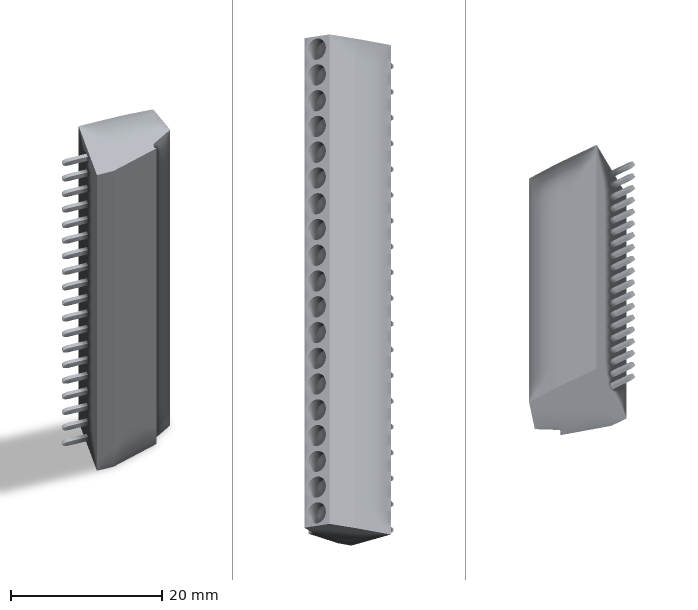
import cadquery as cq
import math

total_length = 66.5
pole_count = 19
pole_pitch = total_length / pole_count
body_width = 8.4
total_depth = 14.9
pin_length = 3.45
body_depth = total_depth - pin_length

upright_wall_height = 6.05
screw_face_start = (0.2, 10.25)
ridge_x = 4.05
ledge_start = (5.7, 8.6)
ledge_end = (6.25, 8.6)
lip_tip = (6.45, 8.85)
low_wall_height = 2.25

screw_hole_diameter = 2.85
screw_hole_depth = 2.0

pin_x = 4.0
pin_thickness = 0.5
pin_half_width = 0.45
pin_tip_half_width = 0.1
pin_tip_length = 0.8
pin_root = 0.65


def pole_positions():
    return [(i + 0.5) * pole_pitch for i in range(pole_count)]


def make_body():
    outline = [
        (0, 0),
        (0, upright_wall_height),
        screw_face_start,
        (ridge_x, body_depth),
        ledge_start,
        ledge_end,
        lip_tip,
        (body_width, low_wall_height),
        (body_width, 0),
    ]
    return cq.Workplane("XY").polyline(outline).close().extrude(total_length)


def make_screw_hole(z):
    start_x, start_y = screw_face_start
    run = ridge_x - start_x
    rise = body_depth - start_y
    face_length = math.hypot(run, rise)
    center = cq.Vector(start_x + run / 2, start_y + rise / 2, z)
    inward = cq.Vector(rise / face_length, -run / face_length, 0)
    overshoot = 0.65
    return cq.Solid.makeCylinder(
        screw_hole_diameter / 2,
        screw_hole_depth + overshoot,
        center - inward * overshoot,
        inward,
    )


def make_pin(z):
    shoulder = -pin_length + pin_tip_length
    half_profile = (
        cq.Workplane("YZ", origin=(pin_x - pin_thickness / 2, 0, z))
        .moveTo(pin_root, 0)
        .lineTo(pin_root, pin_half_width)
        .lineTo(shoulder, pin_half_width)
        .tangentArcPoint((-pin_length, pin_tip_half_width), relative=False)
        .lineTo(-pin_length, 0)
    )
    return half_profile.mirrorX().extrude(pin_thickness)


result = make_body()
for pole_z in pole_positions():
    result = result.cut(cq.Workplane(obj=make_screw_hole(pole_z)))
    result = result.union(make_pin(pole_z))